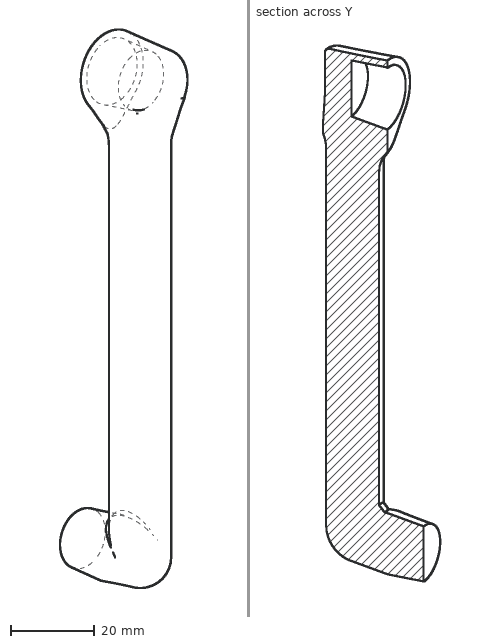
import cadquery as cq
import math

joint_radius = 7.5
joint_mouth_radius = 8.3
joint_length = 10.1

bar_radius = joint_radius
bar_x = 20.1

plug_z = joint_mouth_radius

blend_on_bar = 2.4
blend_on_plug = 1.7

overall_height = 138.7
socket_mouth_x = 10.3
socket_end_x = 28.0
socket_mouth_diameter = 20.7
socket_mouth_radius = socket_mouth_diameter / 2
socket_end_radius = 9.0
socket_end_round = 1.7
socket_z = overall_height - socket_mouth_radius

web_fillet = 10.0
web_end_round = 1.2
web_overrun = 11.1
web_top_z = 124.3
web_bulge_z = 115.7
web_bulge_x = 28.6
web_bottom_z = plug_z + 2 * bar_radius


def revolve_about_x(points, axis_z):
    """Turn an (x, radius) outline about the line parallel to X at axis_z."""
    outline = [(x, axis_z + radius) for x, radius in points]
    profile = cq.Workplane("XZ").polyline(outline).close()
    return profile.revolve(360, (0, axis_z), (1, axis_z))


def make_bar():
    length = socket_z - plug_z
    return cq.Workplane("XY", origin=(bar_x, 0, plug_z)).circle(bar_radius).extrude(length)


def make_plug():
    """Double cone that is widest where the mating socket stops."""
    return revolve_about_x(
        [
            (0, 0),
            (0, joint_radius),
            (joint_length, joint_mouth_radius),
            (bar_x, joint_radius),
            (bar_x, 0),
        ],
        plug_z,
    )


def make_corner_blend():
    """Flattened elliptic strip across the inner corner, fading out at the sides of the bar."""
    span_x = -bar_radius - blend_on_plug
    span_z = bar_radius + blend_on_bar
    ellipse_height = (span_z + bar_radius) / math.sqrt(2)
    diagonal = cq.Plane(origin=(bar_x, 0, plug_z), xDir=(0, 1, 0), normal=(1, 0, 1))
    strip = (
        cq.Workplane(diagonal)
        .ellipse(bar_radius, ellipse_height)
        .extrude(bar_radius, both=True)
    )
    reach = 1.2
    wedge = (
        cq.Workplane("XZ", origin=(bar_x, 0, plug_z))
        .polyline(
            [
                (0, 0),
                (-bar_radius * reach, span_z * reach),
                (span_x * reach, (span_z + bar_radius + span_x) * reach),
            ]
        )
        .close()
        .extrude(bar_radius * reach, both=True)
    )
    return strip.intersect(wedge)


def make_lower_arm():
    """Plug and bar joined by a ball elbow, with the inner corner blended."""
    elbow = cq.Workplane("XY").sphere(bar_radius).translate((bar_x, 0, plug_z))
    return make_plug().union(make_bar()).union(elbow).union(make_corner_blend())


def make_socket_body():
    """Tapered socket with a rounded closed end."""
    body = revolve_about_x(
        [
            (socket_mouth_x, 0),
            (socket_mouth_x, socket_mouth_radius),
            (socket_end_x, socket_end_radius),
            (socket_end_x, 0),
        ],
        socket_z,
    )
    return body.faces(">X").edges().fillet(socket_end_round)


def make_web():
    """Fillet between the bar and an overlong socket cone, trimmed at both ends and rounded at the back."""
    taper = (socket_mouth_radius - socket_end_radius) / (socket_end_x - socket_mouth_x)
    start_x = socket_mouth_x - web_overrun
    end_x = socket_end_x + web_overrun
    cone = revolve_about_x(
        [
            (start_x, 0),
            (start_x, socket_mouth_radius + taper * web_overrun),
            (end_x, socket_end_radius - taper * web_overrun),
            (end_x, 0),
        ],
        socket_z,
    )
    blend = cone.union(make_bar())
    seam = cq.selectors.BoxSelector(
        (bar_x - 2 * bar_radius, -2 * bar_radius, socket_z - 2 * socket_mouth_radius),
        (bar_x + 2 * bar_radius, 2 * bar_radius, socket_z - joint_radius / 2),
    )
    blend = blend.edges(seam).fillet(web_fillet)
    trim = (
        cq.Workplane("XZ")
        .moveTo(socket_mouth_x, web_top_z)
        .lineTo(socket_end_x, web_top_z)
        .lineTo(web_bulge_x, web_bulge_z)
        .lineTo(web_bulge_x, web_bottom_z)
        .lineTo(socket_mouth_x, web_bottom_z)
        .close()
        .extrude(socket_mouth_radius, both=True)
    )
    web = blend.intersect(trim)
    back_middle = ((socket_end_x + web_bulge_x) / 2, 0, (web_top_z + web_bulge_z) / 2)
    back_face = web.faces(cq.selectors.NearestToPointSelector(back_middle))
    return back_face.edges("not |Y").fillet(web_end_round)


def make_socket_bore():
    """Blind tapered hole matching the plug."""
    floor_x = socket_mouth_x + joint_length
    return revolve_about_x(
        [
            (socket_mouth_x, 0),
            (socket_mouth_x, joint_mouth_radius),
            (floor_x, joint_radius),
            (floor_x, 0),
        ],
        socket_z,
    )


result = make_lower_arm().union(make_socket_body()).union(make_web()).cut(make_socket_bore())